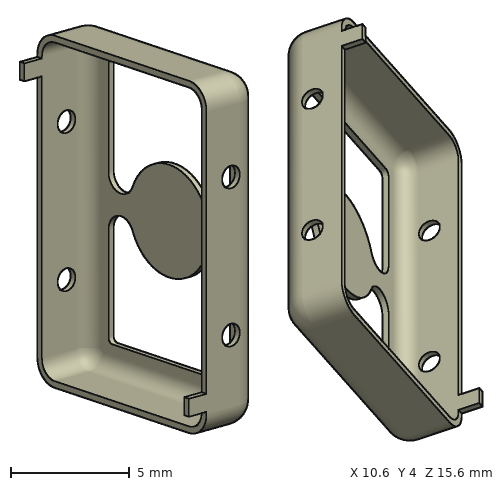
import cadquery as cq
import math

WIDTH = 10.6
HEIGHT = 15.6
SHELL_DEPTH = 3.0
WALL = 0.3
OUTER_RADIUS = 1.1
INNER_RADIUS = OUTER_RADIUS - WALL
FLOOR_FILLET = 0.75

WINDOW_INSET = 1.5
WINDOW_CORNER_RADIUS = 0.25
DISC_RADIUS = 2.5
BRIDGE_WIDTH = 1.0

HOLE_DIAMETER = 1.0
HOLE_SPACING = 7.0
HOLE_Y = SHELL_DEPTH - OUTER_RADIUS - HOLE_DIAMETER / 2

TAB_LENGTH = 1.0
TAB_WIDTH = 0.8
TAB_END_GAP = 1.2


def rounded_block(width, height, depth, corner_radius, face_radius):
    """Block from Y = 0 to Y = depth, rounded on its depth edges and its +Y face edges."""
    block = cq.Workplane("XY").box(width, depth, height).translate((0, depth / 2, 0))
    return block.edges("|Y").fillet(corner_radius).faces(">Y").edges().fillet(face_radius)


def make_shell():
    outer = rounded_block(WIDTH, HEIGHT, SHELL_DEPTH, OUTER_RADIUS, OUTER_RADIUS)
    cavity_width = WIDTH - 2 * WALL
    cavity_height = HEIGHT - 2 * WALL
    cavity_depth = SHELL_DEPTH - WALL
    cavity = rounded_block(cavity_width, cavity_height, cavity_depth, INNER_RADIUS, FLOOR_FILLET)
    return outer.cut(cavity)


def make_upper_window():
    """Window above the bridge; its lower lobes are tangent to side, bridge and disc."""
    side = WIDTH / 2 - WINDOW_INSET
    top = HEIGHT / 2 - WINDOW_INSET
    bridge = BRIDGE_WIDTH / 2

    b = side - bridge + DISC_RADIUS
    c = side**2 + bridge**2 - DISC_RADIUS**2
    lobe_radius = b - math.sqrt(b**2 - c)
    lobe_x = side - lobe_radius
    lobe_z = bridge + lobe_radius

    touch_scale = DISC_RADIUS / (DISC_RADIUS + lobe_radius)
    touch_x = lobe_x * touch_scale
    touch_z = lobe_z * touch_scale

    return (
        cq.Workplane("XZ")
        .moveTo(-side, top)
        .lineTo(side, top)
        .lineTo(side, lobe_z)
        .threePointArc((lobe_x, bridge), (touch_x, touch_z))
        .threePointArc((0, DISC_RADIUS), (-touch_x, touch_z))
        .threePointArc((-lobe_x, bridge), (-side, lobe_z))
        .close()
        .extrude(-SHELL_DEPTH)
        .edges("|Y and >Z")
        .fillet(WINDOW_CORNER_RADIUS)
    )


def make_side_holes():
    return (
        cq.Workplane("YZ")
        .pushPoints([(HOLE_Y, -HOLE_SPACING / 2), (HOLE_Y, HOLE_SPACING / 2)])
        .circle(HOLE_DIAMETER / 2)
        .extrude(WIDTH, both=True)
    )


def make_tab(x_side, z_side):
    """Tab as thick as the wall, continuing it past the rim toward -Y."""
    x = x_side * (WIDTH - WALL) / 2
    z = z_side * (HEIGHT / 2 - TAB_END_GAP - TAB_WIDTH / 2)
    return cq.Workplane("XY").box(WALL, TAB_LENGTH, TAB_WIDTH).translate((x, -TAB_LENGTH / 2, z))


upper_window = make_upper_window()
lower_window = upper_window.mirror("XY")

result = make_shell().cut(upper_window).cut(lower_window).cut(make_side_holes())
for x_side, z_side in ((-1, 1), (1, -1)):
    result = result.union(make_tab(x_side, z_side))